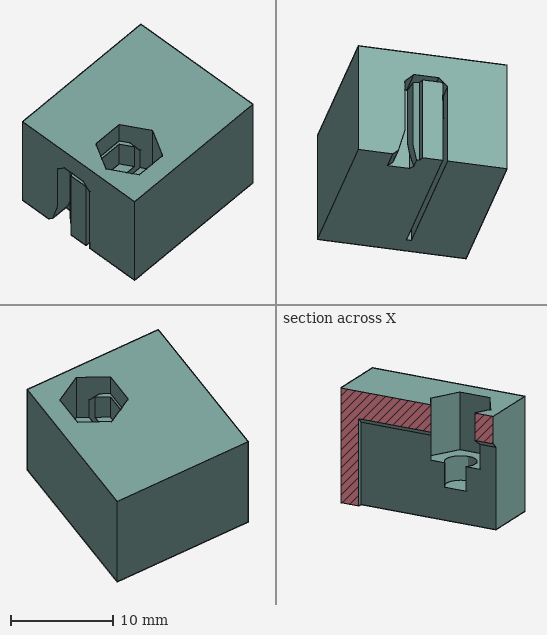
import cadquery as cq
import math

WIDTH, DEPTH, HEIGHT = 15.0, 17, 12.0

SLOT_LEFT, SLOT_RIGHT = 4.7, 9.0
SLOT_TOP = 9.5
SLOT_CHAMFER = 0.9
SLOT_DEPTH = 15.0
FLARE_HEIGHT = 2.92
MOUTH_HEIGHT = 0.5
FLARE_LEFT = 4.03
MOUTH_LEFT = 3.47

TONGUE_RIGHT = 8.5
TONGUE_TOP = 9.01
FACE_LEFT = 6.48
RIDGE_RIGHT, RIDGE_LEFT = 6.29, 5.68
TONGUE_LEFT = 5.47
RIDGE_FRONT_Y, RIDGE_BACK_Y = 0.5, 0.7
SHELF_Y = 2.21

RELIEF_BOTTOM_X = 6.0
RELIEF_WALL_X = 5.7
RELIEF_WALL_Y = 1.73

NUT_X, NUT_Y = 10.08, 4.5
NUT_FLATS = 5.8
NUT_FLOOR = HEIGHT / 2
SCREW_RADIUS = 1.6
SCREW_DEPTH = 2.55


def slot_space():
    """Keyway outline, flared to the left at the bottom."""
    outline = [
        (MOUTH_LEFT, 0),
        (FLARE_LEFT, MOUTH_HEIGHT),
        (SLOT_LEFT, FLARE_HEIGHT),
        (SLOT_LEFT, SLOT_TOP - SLOT_CHAMFER),
        (SLOT_LEFT + SLOT_CHAMFER, SLOT_TOP),
        (SLOT_RIGHT - SLOT_CHAMFER, SLOT_TOP),
        (SLOT_RIGHT, SLOT_TOP - SLOT_CHAMFER),
        (SLOT_RIGHT, 0),
    ]
    return cq.Workplane("XZ").polyline(outline).close().extrude(-SLOT_DEPTH)


def relief():
    """Sloping cut that ends against an oblique wall behind the ridge."""
    plan = [
        (MOUTH_LEFT, 0),
        (RELIEF_BOTTOM_X, 0),
        (RELIEF_BOTTOM_X, RELIEF_WALL_Y),
        (RELIEF_WALL_X, SHELF_Y),
        (MOUTH_LEFT, SHELF_Y),
    ]
    slope = [
        (MOUTH_LEFT, 0),
        (RELIEF_BOTTOM_X, 0),
        (TONGUE_LEFT, FLARE_HEIGHT),
        (MOUTH_LEFT, FLARE_HEIGHT),
    ]
    column = cq.Workplane("XY").polyline(plan).close().extrude(FLARE_HEIGHT)
    wedge = cq.Workplane("XZ").polyline(slope).close().extrude(-SHELF_Y)
    return column.intersect(wedge)


def tongue():
    """Ridged tongue and the shelf joining it to the left wall."""
    plan = [
        (FACE_LEFT, 0),
        (TONGUE_RIGHT, 0),
        (TONGUE_RIGHT, SLOT_DEPTH),
        (MOUTH_LEFT, SLOT_DEPTH),
        (MOUTH_LEFT, SHELF_Y),
        (TONGUE_LEFT, SHELF_Y),
        (RIDGE_LEFT, RIDGE_BACK_Y),
        (RIDGE_RIGHT, RIDGE_FRONT_Y),
    ]
    body = cq.Workplane("XY").polyline(plan).close().extrude(TONGUE_TOP)
    return body.intersect(slot_space()).cut(relief())


def nut_pocket():
    """Hexagonal pocket with corners toward front and back."""
    across_corners = 2 * NUT_FLATS / math.sqrt(3)
    return (
        cq.Workplane("XY", origin=(NUT_X, NUT_Y, NUT_FLOOR))
        .transformed(rotate=(0, 0, 90))
        .polygon(6, across_corners)
        .extrude(HEIGHT - NUT_FLOOR)
    )


def screw_hole():
    """Blind hole below the nut pocket, kept clear of the tongue."""
    hole = (
        cq.Workplane("XY", origin=(NUT_X, NUT_Y, NUT_FLOOR))
        .circle(SCREW_RADIUS)
        .extrude(-SCREW_DEPTH)
    )
    return hole.cut(tongue())


block = cq.Workplane("XY").box(WIDTH, DEPTH, HEIGHT, centered=False)
keyed_block = block.cut(slot_space()).union(tongue())
result = keyed_block.cut(nut_pocket()).cut(screw_hole())